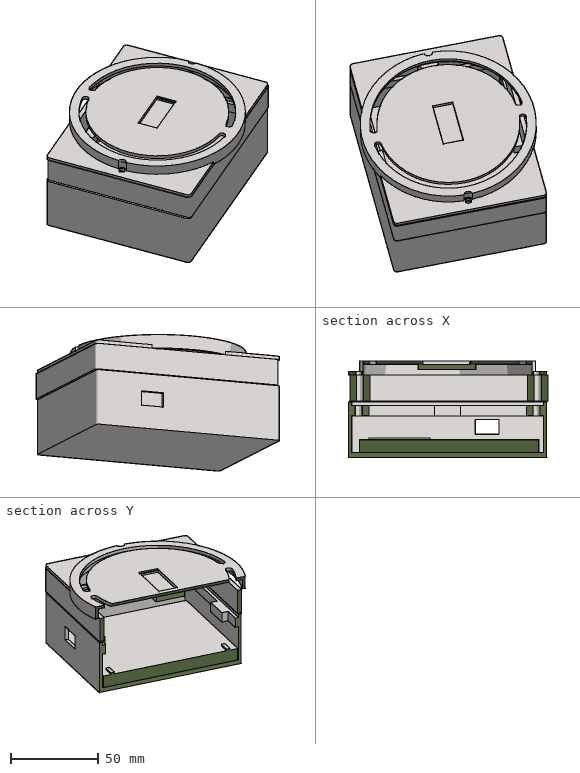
import cadquery as cq
import math

CASE_X = 90.0
CASE_Y = 114.0
CORNER_RADIUS = 2.0
SCREW_Y = 51.0
BOSS_DIAMETER = 12.0
BOSS_HOLE_DIAMETER = 3.9

BASE_TOP = 32.0
BASE_TO_FRAME_GAP = 0.45
FRAME_HEIGHT = 15.0
FRAME_BOTTOM = BASE_TOP + BASE_TO_FRAME_GAP
FRAME_TOP = FRAME_BOTTOM + FRAME_HEIGHT

BASE_FLOOR = 3.0
BASE_WALL = 2.0
RIM_WALL = 4.0
RIM_BOTTOM = 24.0
RIM_TOP = 30.0
RIM_TAB_WIDTH = 15.0
RIM_TAB_REACH = 4.0
PORT_Y = 22.6
PORT_WIDTH = 13.5
PORT_HEIGHT = 8.4
PORT_BOTTOM = 13.4

FRAME_WALL = 2.8
FRAME_SHIFT_X = 0.2
FRAME_SHIFT_Y = 0.7

CAP_PLATE = 2.0
DIAL_DIAMETER = 101.0
DIAL_HEIGHT = 8.0
DIAL_TOP_WALL = 2.0
DIAL_BORE_DIAMETER = 97.0
CAP_TOP = FRAME_TOP + DIAL_HEIGHT
DIAL_CEILING = CAP_TOP - DIAL_TOP_WALL
SLOT_INNER_RADIUS = 41.0
SLOT_OUTER_RADIUS = 45.0
SLOT_END_Y = 5.25
SCREW_NOTCH_DIAMETER = 5.0
SCREW_HOLE_DIAMETER = 3.4
WINDOW_X = 11.8
WINDOW_Y_MIN = -14.0
WINDOW_Y_MAX = 13.2

WINDOW_LEDGE_WIDTH = 0.7
WINDOW_LEDGE_DEPTH = 0.9

DISPLAY_X = 18.0
DISPLAY_THICKNESS = 3.0
DISPLAY_BORDER = 3.0

INSERT_X = 85.2
INSERT_Y = 103.0
INSERT_CENTRE_Y = 0.9
INSERT_TOP = 10.3
RIB_OUTER_X = 37.7
RIB_WIDTH = 2.2
RIB_HEIGHT = 1.0
RIB_Y_MIN = -45.0
RIB_Y_MAX = -10.0


def block(size_x, y_min, y_max, z_min, z_max):
    """Block centred on X between the given Y and Z limits."""
    return (
        cq.Workplane("XY")
        .box(size_x, y_max - y_min, z_max - z_min, centered=(True, False, False))
        .translate((0, y_min, z_min))
    )


def cylinder(diameter, z_min, z_max, y=0.0):
    """Vertical cylinder on the Y axis."""
    return cq.Workplane("XY", origin=(0, y, z_min)).circle(diameter / 2).extrude(z_max - z_min)


def case_block(z_min, z_max):
    """Full case outline with rounded vertical corners."""
    outline = block(CASE_X, -CASE_Y / 2, CASE_Y / 2, z_min, z_max)
    return outline.edges("|Z").fillet(CORNER_RADIUS)


def case_cavity(wall, z_min, z_max):
    """Inside space of the case for a given wall thickness."""
    half_y = CASE_Y / 2 - wall
    return block(CASE_X - 2 * wall, -half_y, half_y, z_min, z_max)


def add_screw_bosses(body, z_min, z_max):
    """Add a drilled boss at both screws, kept inside the outer wall."""
    for side in (-1, 1):
        boss = cylinder(BOSS_DIAMETER, z_min, z_max, side * SCREW_Y)
        body = body.union(boss.intersect(case_block(z_min, z_max)))
        body = body.cut(cylinder(BOSS_HOLE_DIAMETER, z_min, z_max, side * SCREW_Y))
    return body


def make_base():
    base = case_block(0, BASE_TOP)
    base = base.cut(case_cavity(BASE_WALL, BASE_FLOOR, RIM_BOTTOM))
    base = base.cut(case_cavity(RIM_WALL, RIM_BOTTOM, RIM_TOP))
    base = base.cut(case_cavity(BASE_WALL, RIM_TOP, BASE_TOP))
    base = add_screw_bosses(base, RIM_BOTTOM, RIM_TOP)

    tab_x = CASE_X / 2 - RIM_WALL - RIM_TAB_REACH / 2
    for side in (-1, 1):
        tab = block(RIM_TAB_REACH, -RIM_TAB_WIDTH / 2, RIM_TAB_WIDTH / 2, RIM_BOTTOM, RIM_TOP)
        base = base.union(tab.translate((side * tab_x, 0, 0)))

    port_cut = 2 * BASE_WALL
    port = block(port_cut, -PORT_WIDTH / 2, PORT_WIDTH / 2, PORT_BOTTOM, PORT_BOTTOM + PORT_HEIGHT)
    return base.cut(port.translate((-CASE_X / 2, PORT_Y, 0)))


def make_frame():
    frame = case_block(FRAME_BOTTOM, FRAME_TOP)
    frame = frame.cut(case_cavity(FRAME_WALL, FRAME_BOTTOM, FRAME_TOP))
    frame = add_screw_bosses(frame, FRAME_BOTTOM, FRAME_TOP)
    return frame.translate((FRAME_SHIFT_X, FRAME_SHIFT_Y, 0))


def arc_slot(side):
    """Curved slot with round ends through the top of the dial, on the +Y or -Y side."""
    mid_radius = (SLOT_INNER_RADIUS + SLOT_OUTER_RADIUS) / 2
    end_radius = (SLOT_OUTER_RADIUS - SLOT_INNER_RADIUS) / 2
    end_angle = math.asin(SLOT_END_Y / mid_radius)
    cos_end = math.cos(end_angle)
    sin_end = side * math.sin(end_angle)
    tip_x = mid_radius * cos_end + end_radius * math.sin(end_angle)
    tip_y = side * (SLOT_END_Y - end_radius * cos_end)
    return (
        cq.Workplane("XY", origin=(0, 0, DIAL_CEILING))
        .moveTo(SLOT_OUTER_RADIUS * cos_end, SLOT_OUTER_RADIUS * sin_end)
        .threePointArc(
            (0, side * SLOT_OUTER_RADIUS),
            (-SLOT_OUTER_RADIUS * cos_end, SLOT_OUTER_RADIUS * sin_end),
        )
        .threePointArc((-tip_x, tip_y), (-SLOT_INNER_RADIUS * cos_end, SLOT_INNER_RADIUS * sin_end))
        .threePointArc(
            (0, side * SLOT_INNER_RADIUS),
            (SLOT_INNER_RADIUS * cos_end, SLOT_INNER_RADIUS * sin_end),
        )
        .threePointArc((tip_x, tip_y), (SLOT_OUTER_RADIUS * cos_end, SLOT_OUTER_RADIUS * sin_end))
        .close()
        .extrude(DIAL_TOP_WALL)
    )


def make_cap():
    plate_top = FRAME_TOP + CAP_PLATE
    cap = case_block(FRAME_TOP, plate_top)
    cap = cap.union(cylinder(DIAL_DIAMETER, FRAME_TOP, CAP_TOP))
    cap = cap.cut(cylinder(DIAL_BORE_DIAMETER, FRAME_TOP, DIAL_CEILING))
    ledge_y = WINDOW_Y_MAX - WINDOW_LEDGE_WIDTH
    ledge_z = CAP_TOP - WINDOW_LEDGE_DEPTH
    cap = cap.cut(block(WINDOW_X, WINDOW_Y_MIN, WINDOW_Y_MAX, ledge_z, CAP_TOP))
    cap = cap.cut(block(WINDOW_X, WINDOW_Y_MIN, ledge_y, DIAL_CEILING, ledge_z))
    for side in (-1, 1):
        cap = cap.cut(arc_slot(side))
        cap = cap.cut(cylinder(SCREW_NOTCH_DIAMETER, plate_top, CAP_TOP, side * SCREW_Y))
        cap = cap.cut(cylinder(SCREW_HOLE_DIAMETER, FRAME_TOP, plate_top, side * SCREW_Y))
    return cap


def make_display():
    """Flat display module against the underside of the window."""
    y_min = WINDOW_Y_MIN - DISPLAY_BORDER
    y_max = WINDOW_Y_MAX + DISPLAY_BORDER
    return block(DISPLAY_X, y_min, y_max, DIAL_CEILING - DISPLAY_THICKNESS, DIAL_CEILING)


def make_insert():
    """Slab inside the base with two low ribs along its -Y half."""
    y_min = INSERT_CENTRE_Y - INSERT_Y / 2
    y_max = INSERT_CENTRE_Y + INSERT_Y / 2
    insert = block(INSERT_X, y_min, y_max, BASE_FLOOR, INSERT_TOP)
    rib = block(RIB_WIDTH, RIB_Y_MIN, RIB_Y_MAX, INSERT_TOP, INSERT_TOP + RIB_HEIGHT)
    rib_x = RIB_OUTER_X - RIB_WIDTH / 2
    for side in (-1, 1):
        insert = insert.union(rib.translate((side * rib_x, 0, 0)))
    return insert


base = make_base()
frame = make_frame()
cap = make_cap()
display = make_display()
insert = make_insert()

result = cq.Compound.makeCompound(
    [base.val(), frame.val(), cap.val(), display.val(), insert.val()]
)